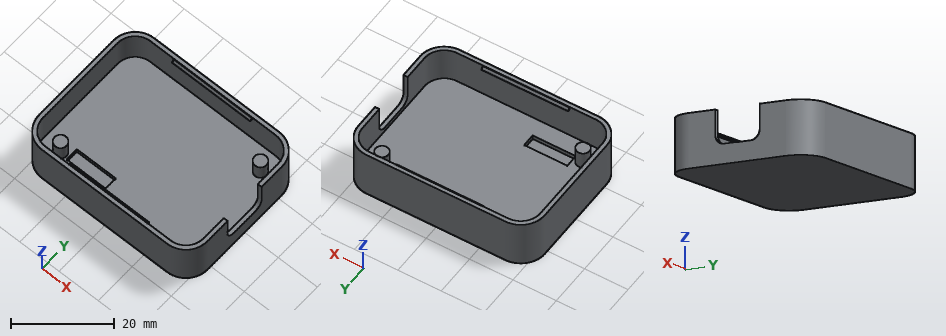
import cadquery as cq

length = 43.0
width = 33.0
height = 11.0
wall = 1.0
corner_radius = 5.5
floor_thickness = 3.0

notch_width = 10.0
notch_depth = 7.0
notch_radius = 2.0

ridge_length = 20.0
ridge_reach = 0.6
ridge_height = ridge_reach
ridge_chamfer = 0.5
ridge_drop = 0.1

post_diameter = 3.0
post_x = 16.0
post_y = 11.0
post_height = 4.0

pocket_length = 9.95
pocket_width = 3.0
pocket_depth = 1.0
pocket_x = -9.05
pocket_y = -10.0

inner_length = length - 2 * wall
inner_width = width - 2 * wall


def rounded_block(x_size, y_size, z_size, radius):
    """Block standing on Z = 0 with rounded vertical edges."""
    block = cq.Workplane("XY").box(x_size, y_size, z_size, centered=(True, True, False))
    return block.edges("|Z").fillet(radius)


def make_notch():
    """Cutter for the notch, with its two lower corners rounded."""
    cutter_thickness = 2 * wall
    cutter = cq.Workplane("XY").box(
        cutter_thickness, notch_width, notch_depth, centered=(True, True, False)
    )
    cutter = cutter.edges("|X and <Z").fillet(notch_radius)
    return cutter.translate((length / 2, 0, height - notch_depth))


def make_pocket():
    """Cutter for the blind pocket in the floor."""
    base = cq.Workplane("XY", origin=(pocket_x, pocket_y, floor_thickness))
    return base.rect(pocket_length, pocket_width).extrude(-pocket_depth)


def make_housing():
    """Tray with its cavity, wall notch and floor pocket."""
    tray = rounded_block(length, width, height, corner_radius)
    cavity = rounded_block(inner_length, inner_width, height, corner_radius - wall)
    tray = tray.cut(cavity.translate((0, 0, floor_thickness)))
    return tray.cut(make_notch()).cut(make_pocket())


def make_ridge(side):
    """Snap ridge on the wall at side * Y, chamfered along its upper free edge."""
    ridge_y = side * (inner_width - ridge_reach) / 2
    ridge_z = height - ridge_drop - ridge_height / 2
    free_side = "<Y" if side > 0 else ">Y"
    ridge = cq.Workplane("XY").box(ridge_length, ridge_reach, ridge_height)
    ridge = ridge.faces(free_side).edges(">Z").chamfer(ridge_chamfer)
    return ridge.translate((0, ridge_y, ridge_z))


def make_post(side):
    """Round post standing on the floor, in the corner at side * X and side * Y."""
    base = cq.Workplane("XY", origin=(side * post_x, side * post_y, floor_thickness))
    return base.circle(post_diameter / 2).extrude(post_height)


housing = make_housing()
ridges = [make_ridge(side) for side in (-1, 1)]
posts = [make_post(side) for side in (-1, 1)]

result = cq.Compound.makeCompound(
    [housing.val()]
    + [ridge.val() for ridge in ridges]
    + [post.val() for post in posts]
)